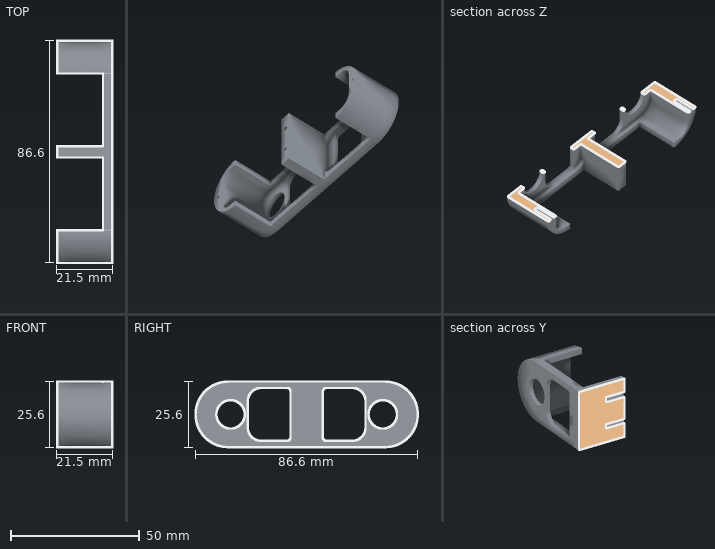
import cadquery as cq

length = 86.6
height = 25.6
depth = 21.5
end_radius = height / 2
straight_half = length / 2 - end_radius

plate_thickness = 3.6
floor_thickness = 1.8
rim_width = 2.6
end_wall = 4.6
recess_inner_y = 1.3
recess_radius = 5.0

rib_width = 4.4

window_inner_y = 6.3
window_outer_y = 22.9
window_inner_radius = 1.3
window_outer_radius = 5.0
round_hole_diameter = 11.0
round_hole_y = 29.6

small_hole_diameter = 1.6
large_hole_diameter = 2.0
screw_hole_depth = 8.7
end_screw_y = 40.9
rib_screw_z = 5.8

front_x = -depth / 2
back_x = depth / 2
plate_front_x = back_x - plate_thickness
floor_x = back_x - floor_thickness
cavity_height = height - 2 * rim_width


def block(x_start, x_end, y_start, y_end, z_size):
    """Box between given X and Y limits, centred on Z = 0."""
    return (
        cq.Workplane("XY")
        .box(x_end - x_start, y_end - y_start, z_size)
        .translate(((x_start + x_end) / 2, (y_start + y_end) / 2, 0))
    )


def rod(x_start, x_end, y, z, diameter):
    """Cylinder along X, used as a hole cutter."""
    return (
        cq.Workplane("YZ", origin=(x_start, y, z))
        .circle(diameter / 2)
        .extrude(x_end - x_start)
    )


def make_body():
    """Slot-shaped prism, opened in front of the plate between the end caps."""
    body = cq.Workplane("YZ", origin=(front_x, 0, 0)).slot2D(length, height).extrude(depth)
    return body.cut(block(front_x, plate_front_x, -straight_half, straight_half, height))


def cavity():
    """Rounded pocket that hollows an end cap and recesses the plate."""
    return block(
        front_x, floor_x, recess_inner_y, length / 2 - end_wall, cavity_height
    ).edges("|X").fillet(recess_radius)


def window():
    """Through opening with large outer and small inner corner radii."""
    opening = block(front_x, back_x, window_inner_y, window_outer_y, cavity_height)
    opening = opening.edges("|X and >Y").fillet(window_outer_radius)
    return opening.edges("|X and <Y").fillet(window_inner_radius)


half_cutters = (
    cavity()
    .union(window())
    .union(rod(front_x, back_x, round_hole_y, 0, round_hole_diameter))
    .union(rod(front_x, front_x + screw_hole_depth, end_screw_y, 0, small_hole_diameter))
)
result = make_body().cut(half_cutters).cut(half_cutters.mirror("XZ"))

result = result.union(block(front_x, back_x, -rib_width / 2, rib_width / 2, height))

for z, diameter in ((rib_screw_z, large_hole_diameter), (-rib_screw_z, small_hole_diameter)):
    result = result.cut(rod(front_x, front_x + screw_hole_depth, 0, z, diameter))